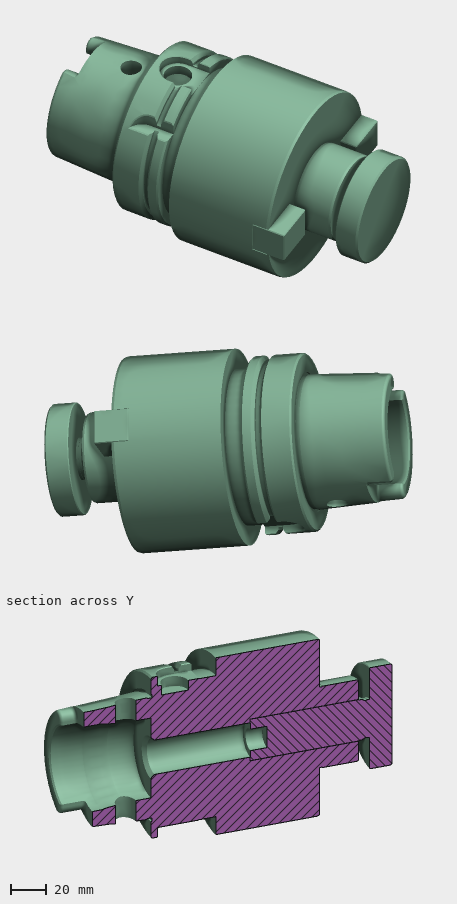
import cadquery as cq
import math

TOTAL_LENGTH = 195.6
TOLERANCE = 0.01


SHANK_LENGTH = 50.0
TAPER_BIG_R = 38.0
TAPER_SLOPE = 0.05
TAPER_FRONT_R = TAPER_BIG_R - TAPER_SLOPE * SHANK_LENGTH
SHANK_EDGE_ROUND = 1.8

RELIEF_START_X = -2.0
RELIEF_DEPTH_X = 0.8
RELIEF_INNER_R = 37.4
RELIEF_OUTER_R = 39.3

BORE_R = 53.0 / 2
BORE_CHAMFER = 0.9
BORE_CONE_START_X = -30.0
BORE_CONE_END_X = -16.0
BORE_DEEP_R = 24.6
BORE_FLOOR_X = 0.0

DRIVE_HALF_W = 10.2
DRIVE_FLARE_R = 5.0
DRIVE_FLARE_Z = 31.6
DRIVE_FLOOR_FILLET = 1.5
TOP_DRIVE_DEPTH = 9.6
BOTTOM_DRIVE_DEPTH = 14.8

CROSS_HOLE_D = 12.0
CROSS_HOLE_X = -15.0

FLANGE_R = 50.0
FLANGE_WIDTH = 29.0
FLANGE_CHAMFER = 1.0
GROOVE_R = 46.0
GROOVE_OPEN_X = (17.0, 23.1)
GROOVE_FLOOR_X = (18.5, 21.3)
GROOVE_WALL_R = 47.7

POCKET_CENTRE_X = 14.6
KEYWAY_R = 10.3
KEYWAY_FLOOR_Z = 44.0
COIN_HOLE_D = 16.0
COIN_HOLE_DEPTH = 6.0
NOTCH_R = 10.0
NOTCH_WALL_Y = -31.5
NOTCH_FLOOR_Z = 31.5
POCKET_EDGE_CHAMFER = 0.5

NECK_R = 43.9
BODY_R = 55.0
BODY_START_X = 39.1
BODY_END_X = 101.8
BODY_CHAMFER_LENGTH = 1.5
BODY_CHAMFER_DROP = 0.5
SPIGOT_R = 50.8 / 2
SPIGOT_END_X = 125.3
SPIGOT_CHAMFER_LENGTH = 1.2
SPIGOT_CHAMFER_DROP = 0.6
SPIGOT_RELIEF_R = 25.1
SPIGOT_RELIEF_END_X = 103.4

SCREW_R = 25.4 / 2
SCREW_BACK_X = 60.0
SCREW_THREAD_END_X = 127.5
SCREW_NECK_X = (128.9, 130.4)
SCREW_NECK_R = 23.44 / 2
SCREW_COLLAR_R = 23.88 / 2
SCREW_HEAD_R = 63.0 / 2
SCREW_HEAD_START_X = 131.8
SCREW_HEAD_END_X = TOTAL_LENGTH - SHANK_LENGTH
SCREW_HEAD_CHAMFER = 1.0
SCREW_RECESS_D = 13.0
SCREW_RECESS_DEPTH = 10.0

PASSAGE_R = 21.0 / 2
PASSAGE_COUNTERSINK = SCREW_R - PASSAGE_R

KEY_WIDTH = 19.05
KEY_LENGTH = 20.0
KEY_START_X = BODY_END_X - KEY_LENGTH / 2
KEY_OUTER_Y = 54.3
KEY_INNER_Y = 29.2
KEY_CHAMFER = 0.5
HALF_TURN = 180
KEY_ANGLES = (0, HALF_TURN)


def revolve_about_x(points):
    """Turn a closed (x, radius) outline about the X axis."""
    return cq.Workplane("XY").polyline(points).close().revolve(360, (0, 0, 0), (1, 0, 0))


def vertical_cylinder(x, y, radius, z_low, z_high):
    """Upright cylinder between two heights."""
    return cq.Workplane("XY", origin=(x, y, z_low)).circle(radius).extrude(z_high - z_low)


def turned_holder():
    """Solid holder with shank, gripper flange, body and spigot."""
    c = FLANGE_CHAMFER
    outline = [
        (-SHANK_LENGTH, 0),
        (-SHANK_LENGTH, TAPER_FRONT_R),
        (RELIEF_START_X, TAPER_BIG_R + TAPER_SLOPE * RELIEF_START_X),
        (RELIEF_START_X, RELIEF_INNER_R),
        (RELIEF_DEPTH_X, RELIEF_INNER_R),
        (RELIEF_DEPTH_X, RELIEF_OUTER_R),
        (0, RELIEF_OUTER_R),
        (0, FLANGE_R - c),
        (c, FLANGE_R),
        (GROOVE_OPEN_X[0], FLANGE_R),
        (GROOVE_FLOOR_X[0], GROOVE_WALL_R),
        (GROOVE_FLOOR_X[0], GROOVE_R),
        (GROOVE_FLOOR_X[1], GROOVE_R),
        (GROOVE_FLOOR_X[1], GROOVE_WALL_R),
        (GROOVE_OPEN_X[1], FLANGE_R),
        (FLANGE_WIDTH - c, FLANGE_R),
        (FLANGE_WIDTH, FLANGE_R - c),
        (FLANGE_WIDTH, NECK_R),
        (BODY_START_X, NECK_R),
        (BODY_START_X, BODY_R),
        (BODY_END_X - BODY_CHAMFER_LENGTH, BODY_R),
        (BODY_END_X, BODY_R - BODY_CHAMFER_DROP),
        (BODY_END_X, SPIGOT_RELIEF_R),
        (SPIGOT_RELIEF_END_X, SPIGOT_RELIEF_R),
        (SPIGOT_RELIEF_END_X, SPIGOT_R),
        (SPIGOT_END_X - SPIGOT_CHAMFER_LENGTH, SPIGOT_R),
        (SPIGOT_END_X, SPIGOT_R - SPIGOT_CHAMFER_DROP),
        (SPIGOT_END_X, 0),
    ]
    return revolve_about_x(outline)


def inner_passage():
    """Shank bore, countersunk passage and the hole that holds the screw."""
    outline = [
        (-SHANK_LENGTH, 0),
        (-SHANK_LENGTH, BORE_R + BORE_CHAMFER),
        (-SHANK_LENGTH + BORE_CHAMFER, BORE_R),
        (BORE_CONE_START_X, BORE_R),
        (BORE_CONE_END_X, BORE_DEEP_R),
        (BORE_FLOOR_X, BORE_DEEP_R),
        (BORE_FLOOR_X, PASSAGE_R + PASSAGE_COUNTERSINK),
        (BORE_FLOOR_X + PASSAGE_COUNTERSINK, PASSAGE_R),
        (SCREW_BACK_X, PASSAGE_R),
        (SCREW_BACK_X, SCREW_R),
        (SPIGOT_END_X, SCREW_R),
        (SPIGOT_END_X, 0),
    ]
    return revolve_about_x(outline)


def drive_slot(depth):
    """Slot cutter on the +Z side whose walls flare outward along a convex arc."""
    w, r = DRIVE_HALF_W, DRIVE_FLARE_R
    bend_z = DRIVE_FLARE_Z - r
    bend = r * (1 - math.sqrt(0.5))
    return (
        cq.Workplane("YZ", origin=(-SHANK_LENGTH, 0, 0))
        .moveTo(-w, 0)
        .lineTo(-w, bend_z)
        .threePointArc((-w - bend, DRIVE_FLARE_Z - bend), (-w - r, DRIVE_FLARE_Z))
        .lineTo(-FLANGE_R, DRIVE_FLARE_Z)
        .lineTo(-FLANGE_R, FLANGE_R)
        .lineTo(FLANGE_R, FLANGE_R)
        .lineTo(FLANGE_R, DRIVE_FLARE_Z)
        .lineTo(w + r, DRIVE_FLARE_Z)
        .threePointArc((w + bend, DRIVE_FLARE_Z - bend), (w, bend_z))
        .lineTo(w, 0)
        .close()
        .extrude(depth)
        .faces(">X").edges().fillet(DRIVE_FLOOR_FILLET)
    )


def round_ended_pocket(y, radius, floor_z):
    """Cutter open toward +X and +Z with a half-round end toward -X."""
    length = FLANGE_WIDTH - POCKET_CENTRE_X
    height = BODY_R - floor_z
    straight = cq.Workplane("XY").box(length, 2 * radius, height, centered=(False, True, False))
    straight = straight.translate((POCKET_CENTRE_X, y, floor_z))
    return straight.union(vertical_cylinder(POCKET_CENTRE_X, y, radius, floor_z, BODY_R))


def key_box(outer_y):
    """Box of a key's length and width on the +Y side, reaching out to outer_y."""
    box = cq.Workplane("XY").box(KEY_LENGTH, outer_y - KEY_INNER_Y, KEY_WIDTH, centered=(False, False, True))
    return box.translate((KEY_START_X, KEY_INNER_Y, 0))


def turn(shape, angle):
    """Turn a shape about the X axis."""
    return shape.rotate((0, 0, 0), (1, 0, 0), angle)


def pocket_rim(holder):
    """Edges where the pockets meet the outside of the flange, without its rings and its seam at z = 0."""
    def on_rim(edge):
        points = [edge.positionAt(place) for place in (0, 0.5, 1)]
        on_outside = all(abs(math.hypot(p.y, p.z) - FLANGE_R) < TOLERANCE for p in points)
        is_ring = edge.BoundingBox().xlen < TOLERANCE
        is_seam = abs(points[1].z) < TOLERANCE
        return on_outside and not is_ring and not is_seam
    return [edge for edge in holder.edges().vals() if on_rim(edge)]


def make_holder():
    """Holder with its drive slots, bores, flange pockets and key seats."""
    holder = turned_holder()
    holder = holder.cut(drive_slot(TOP_DRIVE_DEPTH))
    holder = holder.cut(turn(drive_slot(BOTTOM_DRIVE_DEPTH), HALF_TURN))
    holder = holder.faces("<X").edges().fillet(SHANK_EDGE_ROUND)
    holder = holder.cut(inner_passage())
    holder = holder.cut(vertical_cylinder(CROSS_HOLE_X, 0, CROSS_HOLE_D / 2, -BODY_R, BODY_R))

    keyway = round_ended_pocket(0, KEYWAY_R, KEYWAY_FLOOR_Z)
    holder = holder.cut(keyway).cut(turn(keyway, HALF_TURN))
    holder = holder.cut(round_ended_pocket(NOTCH_WALL_Y - NOTCH_R, NOTCH_R, NOTCH_FLOOR_Z))
    holder = holder.newObject(pocket_rim(holder)).chamfer(POCKET_EDGE_CHAMFER)
    coin_hole_floor_z = KEYWAY_FLOOR_Z - COIN_HOLE_DEPTH
    holder = holder.cut(
        vertical_cylinder(POCKET_CENTRE_X, 0, COIN_HOLE_D / 2, coin_hole_floor_z, KEYWAY_FLOOR_Z)
    )

    for angle in KEY_ANGLES:
        holder = holder.cut(turn(key_box(BODY_R), angle))
    return holder


def make_key(angle):
    """One drive key, turned to its place about the X axis."""
    return turn(key_box(KEY_OUTER_Y).edges().chamfer(KEY_CHAMFER), angle)


def make_screw():
    """Clamping screw with its head outside the spigot and a round recess in its back end."""
    c = SCREW_HEAD_CHAMFER
    back_chamfer = c / 2
    outline = [
        (SCREW_BACK_X, 0),
        (SCREW_BACK_X, SCREW_R),
        (SCREW_THREAD_END_X, SCREW_R),
        (SCREW_NECK_X[0], SCREW_NECK_R),
        (SCREW_NECK_X[1], SCREW_NECK_R),
        (SCREW_NECK_X[1], SCREW_COLLAR_R),
        (SCREW_HEAD_START_X, SCREW_COLLAR_R),
        (SCREW_HEAD_START_X, SCREW_HEAD_R - back_chamfer),
        (SCREW_HEAD_START_X + back_chamfer, SCREW_HEAD_R),
        (SCREW_HEAD_END_X - c, SCREW_HEAD_R),
        (SCREW_HEAD_END_X, SCREW_HEAD_R - c),
        (SCREW_HEAD_END_X, 0),
    ]
    recess = (
        cq.Workplane("YZ", origin=(SCREW_BACK_X, 0, 0))
        .circle(SCREW_RECESS_D / 2).extrude(SCREW_RECESS_DEPTH)
    )
    return revolve_about_x(outline).cut(recess)


holder = make_holder()
keys = [make_key(angle) for angle in KEY_ANGLES]
screw = make_screw()

result = cq.Compound.makeCompound([holder.val(), *[key.val() for key in keys], screw.val()])